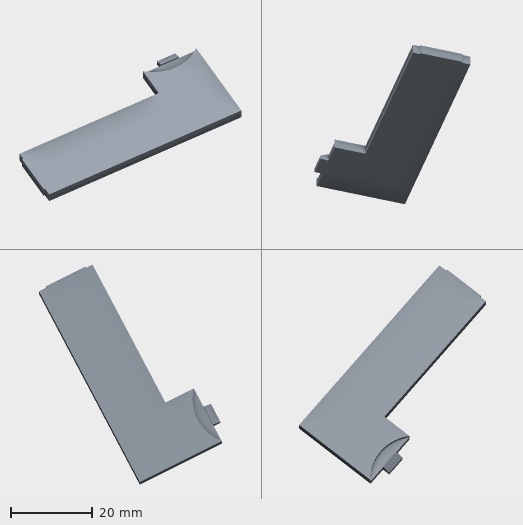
import cadquery as cq

thickness = 2.6
plate_width = 22.75
plate_length = 54.22
head_length = 15.0
shank_width = 14.8

ledge_height = 1.6
recess_reach = 2.9

tongue_reach = 2.0
tongue_width = 5.1
tongue_back_gap = 4.8
tongue_tip_height = 1.2
tongue_root_height = 2.05

pad_reach = 0.35
pad_width = 10.85
pad_left_gap = 1.8

shank_left = plate_width - shank_width


def make_plate():
    """L-shaped plate: a wide head with a narrower shank."""
    return (
        cq.Workplane("XY")
        .moveTo(0, 0)
        .lineTo(plate_width, 0)
        .lineTo(plate_width, -plate_length)
        .lineTo(shank_left, -plate_length)
        .lineTo(shank_left, -head_length)
        .lineTo(0, -head_length)
        .close()
        .extrude(thickness)
    )


def make_recess():
    """Circular segment cut from the top face, leaving a ledge."""
    return (
        cq.Workplane("XY", origin=(0, 0, ledge_height))
        .moveTo(0, 0)
        .threePointArc((recess_reach, -head_length / 2), (0, -head_length))
        .close()
        .extrude(thickness - ledge_height)
    )


def make_tongue():
    """Tongue with a top face that slopes down to its tip."""
    return (
        cq.Workplane("XZ", origin=(0, -tongue_back_gap, 0))
        .moveTo(0, 0)
        .lineTo(-tongue_reach, 0)
        .lineTo(-tongue_reach, tongue_tip_height)
        .lineTo(0, tongue_root_height)
        .close()
        .extrude(tongue_width)
    )


def make_pad():
    """Full-thickness pad standing out from the shank's end face."""
    pad_corner = (shank_left + pad_left_gap, -plate_length - pad_reach, 0)
    return cq.Workplane("XY", origin=pad_corner).box(pad_width, pad_reach, thickness, centered=False)


result = make_plate().cut(make_recess()).union(make_tongue()).union(make_pad())